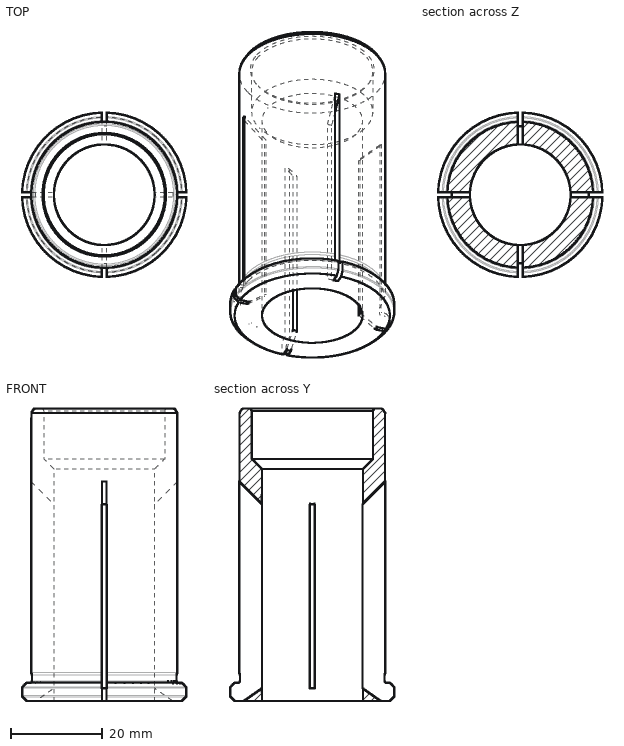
import cadquery as cq
import math

total_height = 64.0
barrel_radius = 32.0 / 2
bore_radius = 22.0 / 2
counterbore_radius = 26.5 / 2

flange_radius = 36.0 / 2
flange_height = 4.0
flange_chamfer = 1.0
flange_rounding = 0.4

groove_depth = 0.15
groove_radius = barrel_radius - groove_depth
groove_top = 6.25
groove_angle = math.radians(15)
groove_rounding = 0.4

lead_in_angle = math.radians(30)
lead_in_height = 1.0
lead_in_width = lead_in_height * math.tan(lead_in_angle)
lead_in_rounding = 0.4
mouth_height = 0.5
mouth_width = mouth_height * math.tan(lead_in_angle)

counterbore_depth = 11.0
cone_height = counterbore_radius - bore_radius

slot_count = 4
slot_width = 1.0
slot_top = 48.0
slot_top_slope = math.radians(45)
slot_bottom_slope = math.radians(35)
slot_bottom_start = 15.0
slot_overshoot = 1.0


def make_body():
    """Revolved sleeve with flange, relief groove and stepped bore."""
    groove_slope_height = groove_depth / math.tan(groove_angle)
    cone_top = total_height - counterbore_depth
    profile = (
        cq.Workplane("XZ")
        .moveTo(bore_radius, 0)
        .lineTo(flange_radius - flange_chamfer, 0)
        .lineTo(flange_radius, flange_chamfer)
        .lineTo(flange_radius, flange_height - flange_chamfer)
        .lineTo(flange_radius - flange_chamfer, flange_height)
        .lineTo(groove_radius, flange_height)
        .lineTo(groove_radius, groove_top - groove_slope_height)
        .lineTo(barrel_radius, groove_top)
        .lineTo(barrel_radius, total_height - lead_in_height)
        .lineTo(barrel_radius - lead_in_width, total_height)
        .lineTo(counterbore_radius + mouth_width, total_height)
        .lineTo(counterbore_radius, total_height - mouth_height)
        .lineTo(counterbore_radius, cone_top)
        .lineTo(bore_radius, cone_top - cone_height)
        .close()
    )
    return profile.revolve(360, (0, 0, 0), (0, 1, 0))


def round_ring(body, radius, height, rounding):
    """Fillet the circular edge that has this radius and lies at this height."""
    rings = [
        edge
        for edge in body.edges("%CIRCLE").vals()
        if math.isclose(edge.radius(), radius) and math.isclose(edge.Center().z, height)
    ]
    return body.newObject(rings).fillet(rounding)


def round_edges(body):
    """Round the flange chamfers, the corner of the relief groove and the lead-in at the top."""
    flange_face_radius = flange_radius - flange_chamfer
    body = round_ring(body, flange_radius, flange_chamfer, flange_rounding)
    body = round_ring(body, flange_radius, flange_height - flange_chamfer, flange_rounding)
    body = round_ring(body, flange_face_radius, flange_height, flange_rounding)
    body = round_ring(body, groove_radius, flange_height, groove_rounding)
    return round_ring(body, barrel_radius - lead_in_width, total_height, lead_in_rounding)


def make_slot():
    """Cutter for the slot on the +X side; both end faces rise or fall toward the bore."""
    outer = flange_radius + slot_overshoot
    inner = bore_radius - slot_overshoot

    def top_at(radius):
        return slot_top - (barrel_radius - radius) * math.tan(slot_top_slope)

    def bottom_at(radius):
        return (slot_bottom_start - radius) * math.tan(slot_bottom_slope)

    corners = [
        (inner, bottom_at(inner)),
        (outer, bottom_at(outer)),
        (outer, top_at(outer)),
        (inner, top_at(inner)),
    ]
    return (
        cq.Workplane("XZ")
        .polyline(corners)
        .close()
        .extrude(slot_width / 2, both=True)
    )


def cut_slots(body):
    """Cut the slots, evenly spaced around the axis."""
    for index in range(slot_count):
        slot = make_slot().rotate((0, 0, 0), (0, 0, 1), index * 360 / slot_count)
        body = body.cut(slot)
    return body


result = cut_slots(round_edges(make_body()))